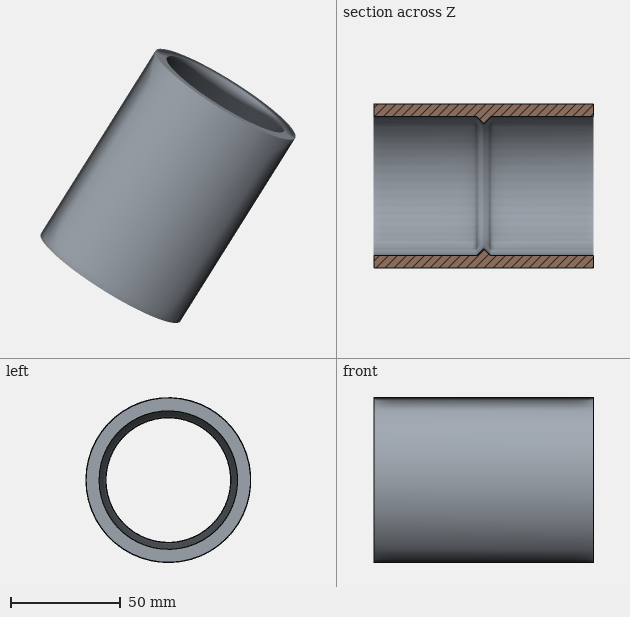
import cadquery as cq

length = 100.0
outer_diameter = 75.0
bore_diameter = 63.0
ridge_diameter = 56.7

half_length = length / 2
outer_radius = outer_diameter / 2
bore_radius = bore_diameter / 2
ridge_radius = ridge_diameter / 2

ridge_half_width = bore_radius - ridge_radius

wall_section = (
    cq.Workplane("XY")
    .moveTo(-half_length, bore_radius)
    .lineTo(-half_length, outer_radius)
    .lineTo(half_length, outer_radius)
    .lineTo(half_length, bore_radius)
    .lineTo(ridge_half_width, bore_radius)
    .lineTo(0, ridge_radius)
    .lineTo(-ridge_half_width, bore_radius)
    .close()
)
result = wall_section.revolve(360, (0, 0, 0), (1, 0, 0))